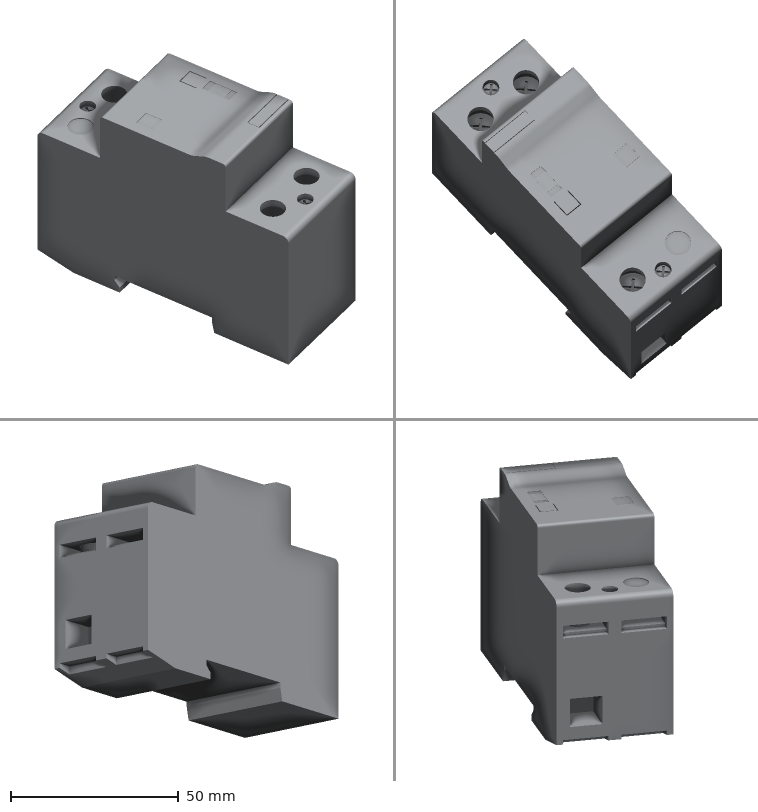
import cadquery as cq
import math

LENGTH = 90.0
WIDTH = 36.0
SHOULDER_Z = 49.0
DECK_Z = 65.0
RIDGE_Z = 67.0
CUT_OVER = 1.0
EDGE_PICK_REACH = 0.1
HALF_LENGTH = LENGTH / 2
HALF_WIDTH = WIDTH / 2
POLE_Y = WIDTH / 4

BLOCK_HALF_LENGTH = 22.5
RAMP_START_X = 10.4
RAMP_END_X = 15.5
SHOULDER_FILLET = 2.0
BLOCK_FILLET = 1.0
RAMP_FILLET = 5.0

SLOPE_HEIGHT = 3.1
SLOPE_LENGTH = 13.0
RAIL_WIDTH = 35.0
RAIL_DEPTH = 5.6
RAIL_LEFT_X = -17.5
RAIL_RIGHT_X = RAIL_LEFT_X + RAIL_WIDTH
RAIL_LEDGE_Z = 4.0
HOOK_REACH = 2.0
HOOK_TIP_Z = 2.0
RIGHT_FOOT_X = 18.4

SLOT_WIDTH = 14.0
SLOT_FLOOR_Z = 37.0
SLOT_TOP_Z = 41.0
SLOT_LEDGE_Z = 38.0
SLOT_LEDGE_INSET = 2.0
SLOT_DEPTH = 16.0
NOTCH_TOP_Z = 4.5
NOTCH_BOTTOM_Z = 2.0
NOTCH_DEPTH = SLOPE_LENGTH * (1 - NOTCH_BOTTOM_Z / SLOPE_HEIGHT)
WIRE_WIDTH = 10.0
WIRE_HEIGHT = 9.0
WIRE_DEPTH = 11.0
WIRE_Y = 8.8
WIRE_Z = 13.0

BORE_D = 7.8
LEFT_SCREW_X = -35.5
RIGHT_SCREW_X = 33.4
SCREW_PLACES = [(LEFT_SCREW_X, POLE_Y), (RIGHT_SCREW_X, POLE_Y), (RIGHT_SCREW_X, -POLE_Y)]
NECK_D = 8.0
HEAD_D = 10.38
CHAMBER_D = 11.0
BORE_LIP = 2.5
HEAD_BOTTOM_Z = 38.9
HEAD_RIM_Z = 41.0
DOME_HEIGHT = 2.0
CROSS_LENGTH = 6.2
CROSS_WIDTH = 0.9
CROSS_DEPTH = 1.5
CROSS_ANGLES = (45, 135)
BLANK_DEPTH = 0.3

COVER_SCREW_X = 39.0
COVER_BORE_D = 5.0
COVER_SCREW_D = 4.5
COVER_SCREW_TOP_Z = SHOULDER_Z - 2.0
COVER_BORE_DEPTH = 3.0
COVER_CROSS_LENGTH = 4.0
COVER_CROSS_WIDTH = 0.75
COVER_CROSS_DEPTH = 1.0

BUTTON_X = -9.1
BUTTON_LENGTH = 6.0
BUTTON_WIDTH = 5.7
BUTTON_Y = 11.7
BUTTON_GAP = 0.28
BUTTON_DEPTH = 3.0
WINDOW_WIDTH = 5.4
WINDOW_Y = -11.7
WINDOW_DEPTH = 0.1
WINDOW_GROOVE_DEPTH = 0.2
LABEL_X = 0.35
LABEL_Y = 11.95
LABEL_LENGTH = 9.7
LABEL_WIDTH = 4.25
LABEL_PAD_LENGTH = 5.7
LABEL_DEPTH = 0.2
LABEL_PAD_HEIGHT = 0.1

STRIP_END_Y = 2.1
STRIP_START_X = 16.8
STRIP_END_X = 21.15
STRIP_GAP = 0.28
STRIP_GAP_DEPTH = 0.5
STRIP_SEAM = 0.1


def box(x0, x1, y0, y1, z0, z1):
    return cq.Workplane("XY").box(x1 - x0, y1 - y0, z1 - z0, centered=False).translate((x0, y0, z0))


def cylinder(x, y, diameter, z0, z1):
    return cq.Workplane("XY").circle(diameter / 2).extrude(z1 - z0).translate((x, y, z0))


def cross(x, y, length, width, z0, z1):
    arms = cq.Workplane("XY")
    for angle in CROSS_ANGLES:
        arm = cq.Workplane("XY").rect(length, width).extrude(z1 - z0)
        arms = arms.union(arm.rotate((0, 0, 0), (0, 0, 1), angle))
    return arms.translate((x, y, z0))


def edge_at(x, z):
    """Box selector for the edge along Y that passes through (x, z)."""
    reach = EDGE_PICK_REACH
    low_corner = (x - reach, -HALF_WIDTH, z - reach)
    high_corner = (x + reach, HALF_WIDTH, z + reach)
    return cq.selectors.BoxSelector(low_corner, high_corner)


def housing_blank():
    outline = [
        (-HALF_LENGTH, SLOPE_HEIGHT),
        (-HALF_LENGTH + SLOPE_LENGTH, 0),
        (RAIL_LEFT_X + HOOK_REACH, 0),
        (RAIL_LEFT_X + HOOK_REACH, HOOK_TIP_Z),
        (RAIL_LEFT_X, RAIL_LEDGE_Z),
        (RAIL_LEFT_X, RAIL_DEPTH),
        (RAIL_RIGHT_X, RAIL_DEPTH),
        (RAIL_RIGHT_X, RAIL_LEDGE_Z),
        (RIGHT_FOOT_X, 0),
        (HALF_LENGTH, 0),
        (HALF_LENGTH, SHOULDER_Z),
        (BLOCK_HALF_LENGTH, SHOULDER_Z),
        (BLOCK_HALF_LENGTH, RIDGE_Z),
        (RAMP_END_X, RIDGE_Z),
        (RAMP_START_X, DECK_Z),
        (-BLOCK_HALF_LENGTH, DECK_Z),
        (-BLOCK_HALF_LENGTH, SHOULDER_Z),
        (-HALF_LENGTH, SHOULDER_Z),
    ]
    body = cq.Workplane("XZ").polyline(outline).close().extrude(HALF_WIDTH, both=True)
    rounded_corners = [
        (-HALF_LENGTH, SHOULDER_Z, SHOULDER_FILLET),
        (HALF_LENGTH, SHOULDER_Z, SHOULDER_FILLET),
        (-BLOCK_HALF_LENGTH, DECK_Z, BLOCK_FILLET),
        (BLOCK_HALF_LENGTH, RIDGE_Z, BLOCK_FILLET),
        (RAMP_START_X, DECK_Z, RAMP_FILLET),
        (RAMP_END_X, RIDGE_Z, RAMP_FILLET),
    ]
    for x, z, radius in rounded_corners:
        body = body.edges(edge_at(x, z)).fillet(radius)
    return body


def cut_end_openings(body):
    outside = -HALF_LENGTH - CUT_OVER
    ledge = -HALF_LENGTH + SLOT_LEDGE_INSET
    for pole_y in (-POLE_Y, POLE_Y):
        y0 = pole_y - SLOT_WIDTH / 2
        y1 = pole_y + SLOT_WIDTH / 2
        body = body.cut(box(outside, ledge, y0, y1, SLOT_FLOOR_Z, SLOT_TOP_Z))
        body = body.cut(box(ledge, -HALF_LENGTH + SLOT_DEPTH, y0, y1, SLOT_LEDGE_Z, SLOT_TOP_Z))
        body = body.cut(box(outside, -HALF_LENGTH + NOTCH_DEPTH, y0, y1, -CUT_OVER, NOTCH_TOP_Z))
    return body.cut(
        box(
            outside,
            -HALF_LENGTH + WIRE_DEPTH,
            WIRE_Y - WIRE_WIDTH / 2,
            WIRE_Y + WIRE_WIDTH / 2,
            WIRE_Z - WIRE_HEIGHT / 2,
            WIRE_Z + WIRE_HEIGHT / 2,
        )
    )


def cut_screw_bores(body):
    for x, y in SCREW_PLACES:
        body = body.cut(cylinder(x, y, BORE_D, SHOULDER_Z - BORE_LIP, SHOULDER_Z + CUT_OVER))
        body = body.cut(cylinder(x, y, CHAMBER_D, SLOT_LEDGE_Z, SHOULDER_Z - BORE_LIP))
    blank = cylinder(LEFT_SCREW_X, -POLE_Y, BORE_D, SHOULDER_Z - BLANK_DEPTH, SHOULDER_Z)
    return body.cut(blank)


def add_cover_screws(body):
    bottom = SHOULDER_Z - COVER_BORE_DEPTH
    for x in (-COVER_SCREW_X, COVER_SCREW_X):
        body = body.cut(cylinder(x, 0, COVER_BORE_D, bottom, SHOULDER_Z))
        body = body.union(cylinder(x, 0, COVER_SCREW_D, bottom, COVER_SCREW_TOP_Z))
        body = body.cut(
            cross(
                x,
                0,
                COVER_CROSS_LENGTH,
                COVER_CROSS_WIDTH,
                COVER_SCREW_TOP_Z - COVER_CROSS_DEPTH,
                COVER_SCREW_TOP_Z,
            )
        )
    return body


def deck_plate(x, y, length, width, depth):
    """Block centred on (x, y) that reaches from the deck down to the given depth."""
    return box(x - length / 2, x + length / 2, y - width / 2, y + width / 2, DECK_Z - depth, DECK_Z)


def cut_deck(body):
    body = body.cut(deck_plate(BUTTON_X, BUTTON_Y, BUTTON_LENGTH, BUTTON_WIDTH, BUTTON_DEPTH))
    body = body.cut(deck_plate(BUTTON_X, WINDOW_Y, BUTTON_LENGTH, WINDOW_WIDTH, WINDOW_DEPTH))
    groove_x = BUTTON_X - BUTTON_LENGTH / 2 + BUTTON_GAP / 2
    body = body.cut(deck_plate(groove_x, WINDOW_Y, BUTTON_GAP, WINDOW_WIDTH, WINDOW_GROOVE_DEPTH))
    body = body.cut(deck_plate(LABEL_X, LABEL_Y, LABEL_LENGTH, LABEL_WIDTH, LABEL_DEPTH))
    pad = deck_plate(LABEL_X, LABEL_Y, LABEL_PAD_LENGTH, LABEL_WIDTH, LABEL_PAD_HEIGHT)
    return body.union(pad.translate((0, 0, LABEL_PAD_HEIGHT - LABEL_DEPTH)))


def cut_strip_grooves(body):
    z0 = RIDGE_Z - STRIP_GAP_DEPTH
    for x0 in (STRIP_START_X, STRIP_END_X - STRIP_GAP):
        body = body.cut(box(x0, x0 + STRIP_GAP, STRIP_END_Y, HALF_WIDTH, z0, RIDGE_Z))
    seam_end = STRIP_END_Y + STRIP_SEAM
    seam = box(STRIP_START_X, STRIP_END_X, STRIP_END_Y, seam_end, RIDGE_Z - STRIP_SEAM, RIDGE_Z)
    return body.cut(seam)


def make_terminal_screw(x, y):
    rim = HEAD_D / 2
    dome_top = HEAD_RIM_Z + DOME_HEIGHT
    sphere_r = (rim**2 + DOME_HEIGHT**2) / (2 * DOME_HEIGHT)
    mid_r = rim / 2
    mid_z = dome_top - sphere_r + math.sqrt(sphere_r**2 - mid_r**2)
    screw = (
        cq.Workplane("XZ")
        .moveTo(0, SLOT_LEDGE_Z)
        .lineTo(NECK_D / 2, SLOT_LEDGE_Z)
        .lineTo(NECK_D / 2, HEAD_BOTTOM_Z)
        .lineTo(rim, HEAD_BOTTOM_Z)
        .lineTo(rim, HEAD_RIM_Z)
        .threePointArc((mid_r, mid_z), (0, dome_top))
        .close()
        .revolve(360, (0, 0, 0), (0, 1, 0))
    )
    screw = screw.translate((x, y, 0))
    return screw.cut(cross(x, y, CROSS_LENGTH, CROSS_WIDTH, dome_top - CROSS_DEPTH, dome_top))


def make_button():
    x0 = BUTTON_X - BUTTON_LENGTH / 2 + BUTTON_GAP
    half_width = BUTTON_WIDTH / 2 - BUTTON_GAP
    return box(
        x0,
        BUTTON_X + BUTTON_LENGTH / 2,
        BUTTON_Y - half_width,
        BUTTON_Y + half_width,
        DECK_Z - BUTTON_DEPTH,
        DECK_Z,
    )


housing = housing_blank()
housing = cut_end_openings(housing)
housing = cut_screw_bores(housing)
housing = add_cover_screws(housing)
housing = cut_deck(housing)
housing = cut_strip_grooves(housing)

terminal_screws = [make_terminal_screw(x, y).val() for x, y in SCREW_PLACES]
button = make_button()

result = cq.Compound.makeCompound([housing.val(), *terminal_screws, button.val()])